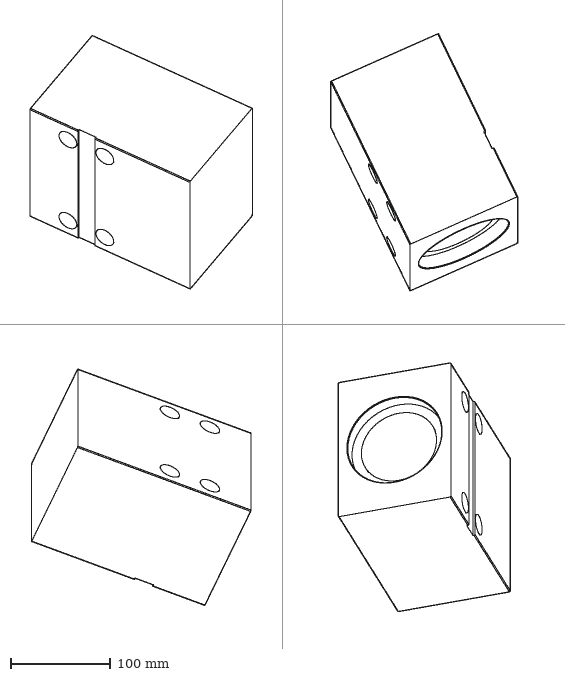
import cadquery as cq

length = 190.0
depth = 120.0
height = 160.0
edge_chamfer = 1.0

bore_diameter = 80.0
mouth_diameter = 100.0
mouth_depth = 14.0
mouth_chamfer = 0.8
end_wall = 30.0

slot_width = 20.0
slot_depth = 2.0
slot_from_end = 67.0
hole_diameter = 21.0
hole_spacing_x = 43.9
hole_spacing_z = 120.0

end_x = -length / 2
slot_x = end_x + slot_from_end
front_y = -depth / 2


def make_block():
    """Block with its four long edges chamfered."""
    return cq.Workplane("XY").box(length, depth, height).edges("|X").chamfer(edge_chamfer)


def make_bore():
    """Revolved bore: chamfered mouth, wider recess, then the blind main bore."""
    bore_radius = bore_diameter / 2
    mouth_radius = mouth_diameter / 2
    step_x = end_x + mouth_depth
    bottom_x = length / 2 - end_wall
    return (
        cq.Workplane("XY")
        .moveTo(end_x, 0)
        .lineTo(end_x, mouth_radius + mouth_chamfer)
        .lineTo(end_x + mouth_chamfer, mouth_radius)
        .lineTo(step_x, mouth_radius)
        .lineTo(step_x, bore_radius)
        .lineTo(bottom_x, bore_radius)
        .lineTo(bottom_x, 0)
        .close()
        .revolve(360, (0, 0, 0), (1, 0, 0))
    )


def make_key_slot():
    """Shallow slot running the full height of the -Y face."""
    return (
        cq.Workplane("XY")
        .box(slot_width, 2 * slot_depth, height)
        .translate((slot_x, front_y, 0))
    )


def make_mounting_holes():
    """Four through holes along Y, centred on the key slot."""
    return (
        cq.Workplane("XZ", origin=(slot_x, 0, 0))
        .rarray(hole_spacing_x, hole_spacing_z, 2, 2)
        .circle(hole_diameter / 2)
        .extrude(depth / 2, both=True)
    )


result = make_block().cut(make_bore()).cut(make_key_slot()).cut(make_mounting_holes())